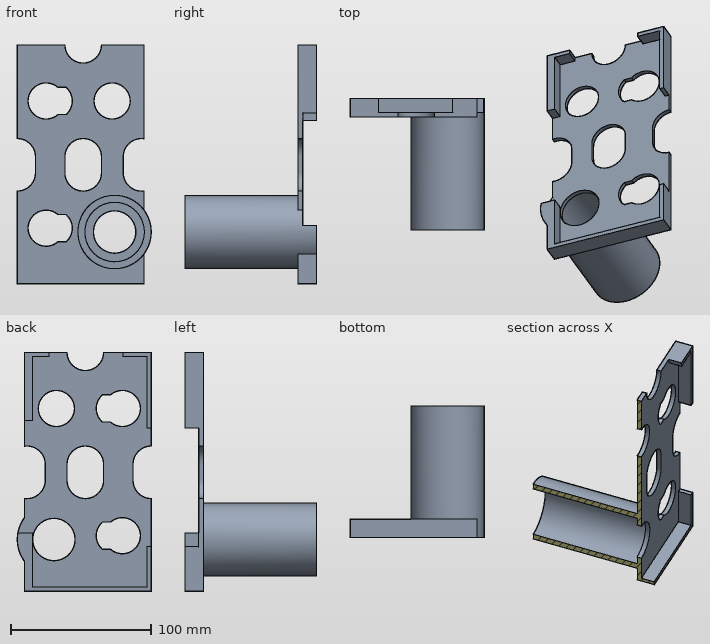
import cadquery as cq

overall_width = 95.7
plate_width = 90.6
plate_height = 170.6
web_thickness = 3.4
wall_depth = 13.3

left_wall_thickness = 3.0
right_wall_thickness = 6.0
end_wall_thickness = 3.0
upper_left_wall_bottom = 116.5
upper_right_wall_bottom = 122.0
lower_left_wall_top = 31.9
lower_right_wall_top = 41.8
top_left_wall_length = 20.3
top_right_wall_length = 17.5

tube_diameter = 52.4
bore_diameter = 42.5
tube_hole_diameter = 30.0
tube_length = 80.7
tube_x = overall_width - tube_diameter / 2
tube_z = 37.0

hole_radius = 12.8
upper_row_z = 130.5
lower_row_z = 39.8
round_hole_x = 67.7
keyhole_x = 20.6
keyhole_offset = 5.8
keyhole_neck_height = 19.3

slot_width = 26.0
slot_length = 37.4
slot_z = 85.0
left_slot_x = 0.0
middle_slot_x = 47.1
right_slot_x = 88.7


def block(x_min, x_max, z_min, z_max, depth=wall_depth):
    """Box from the front face of the web back to the given depth."""
    size_x = x_max - x_min
    size_z = z_max - z_min
    return cq.Workplane("XY").box(size_x, depth, size_z, centered=False).translate((x_min, 0, z_min))


def cylinder(x, z, radius, y_front, y_rear):
    """Cylinder along Y between two Y positions."""
    plane = cq.Workplane("XZ", origin=(x, y_rear, z))
    return plane.circle(radius).extrude(y_rear - y_front)


def slot(x):
    """Vertical round-ended cutter through the web."""
    plane = cq.Workplane("XZ", origin=(x, web_thickness, slot_z))
    return plane.slot2D(slot_length, slot_width, 90).extrude(web_thickness)


def keyhole(z):
    """Round cutter with a flat-sided, round-ended extension toward +X."""
    entry = cylinder(keyhole_x, z, hole_radius, 0, web_thickness)
    extension_x = keyhole_x + keyhole_offset
    extension = cylinder(extension_x, z, hole_radius, 0, web_thickness)
    half_neck = keyhole_neck_height / 2
    neck = block(keyhole_x, extension_x + hole_radius, z - half_neck, z + half_neck, web_thickness)
    return entry.union(extension.intersect(neck))


body = block(0, plate_width, 0, plate_height, web_thickness)
for slot_x in (left_slot_x, middle_slot_x, right_slot_x):
    body = body.cut(slot(slot_x))
for row_z in (lower_row_z, upper_row_z):
    body = body.cut(keyhole(row_z))
body = body.cut(cylinder(round_hole_x, upper_row_z, hole_radius, 0, web_thickness))
body = body.cut(cylinder(middle_slot_x, plate_height, slot_width / 2, 0, web_thickness))

right_wall_x = plate_width - right_wall_thickness
top_wall_z = plate_height - end_wall_thickness
walls = [
    block(0, left_wall_thickness, upper_left_wall_bottom, plate_height),
    block(0, left_wall_thickness, 0, lower_left_wall_top),
    block(right_wall_x, plate_width, upper_right_wall_bottom, plate_height),
    block(right_wall_x, plate_width, 0, lower_right_wall_top),
    block(0, plate_width, 0, end_wall_thickness),
    block(0, top_left_wall_length, top_wall_z, plate_height),
    block(plate_width - top_right_wall_length, plate_width, top_wall_z, plate_height),
]
for wall in walls:
    body = body.union(wall)

tube_radius = tube_diameter / 2
bulge = cylinder(tube_x, tube_z, tube_radius, 0, wall_depth)
bulge = bulge.intersect(block(right_wall_x, tube_x + tube_radius, 0, lower_right_wall_top))
body = body.union(bulge)

body = body.union(cylinder(tube_x, tube_z, tube_radius, -tube_length, web_thickness))
body = body.cut(cylinder(tube_x, tube_z, bore_diameter / 2, -tube_length, 0))
body = body.cut(cylinder(tube_x, tube_z, tube_hole_diameter / 2, 0, web_thickness))

result = body